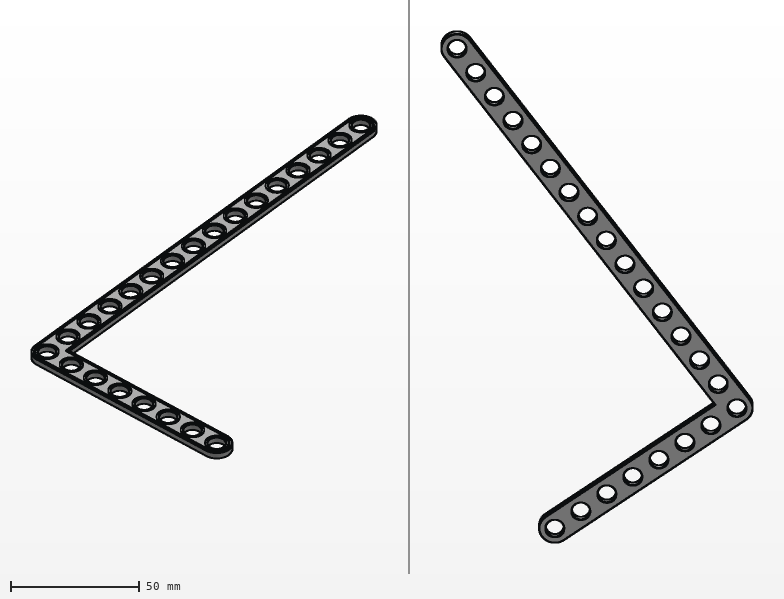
import cadquery as cq

long_side = 200
long_arm_holes = 16
short_arm_holes = 8
thickness = 3.2
hole_diameter = 7.0
boss_diameter = 9.2
rim_width = (boss_diameter - hole_diameter) / 2
edge_chamfer = 0.3
pocket_depth = 0.2

hole_pitch = long_side / long_arm_holes
arm_width = hole_pitch
long_arm_reach = (long_arm_holes - 1) * hole_pitch
short_arm_reach = (short_arm_holes - 1) * hole_pitch
hole_centres = [(0, row * hole_pitch) for row in range(long_arm_holes)]
hole_centres += [(column * hole_pitch, 0) for column in range(1, short_arm_holes)]


def angle_plate(width, bottom, height):
    """L-shaped plate of two round-ended arms that share the corner hole centre."""
    plane = cq.Workplane("XY").workplane(offset=bottom)
    long_slot = plane.center(0, long_arm_reach / 2).slot2D(long_arm_reach + width, width, angle=90)
    long_arm = long_slot.extrude(height)
    short_slot = plane.center(short_arm_reach / 2, 0).slot2D(short_arm_reach + width, width)
    short_arm = short_slot.extrude(height)
    return long_arm.union(short_arm)


def cylinders(diameter, bottom, height):
    """One upright cylinder at every hole centre."""
    plane = cq.Workplane("XY").workplane(offset=bottom)
    return plane.pushPoints(hole_centres).circle(diameter / 2).extrude(height)


floor_height = thickness - pocket_depth
recess = angle_plate(arm_width - 2 * rim_width, floor_height, pocket_depth)
recess = recess.cut(cylinders(boss_diameter, floor_height, pocket_depth))

plate = angle_plate(arm_width, 0, thickness).cut(cylinders(hole_diameter, 0, thickness))
plate = plate.faces(">Z or <Z").edges().chamfer(edge_chamfer)
result = plate.cut(recess)